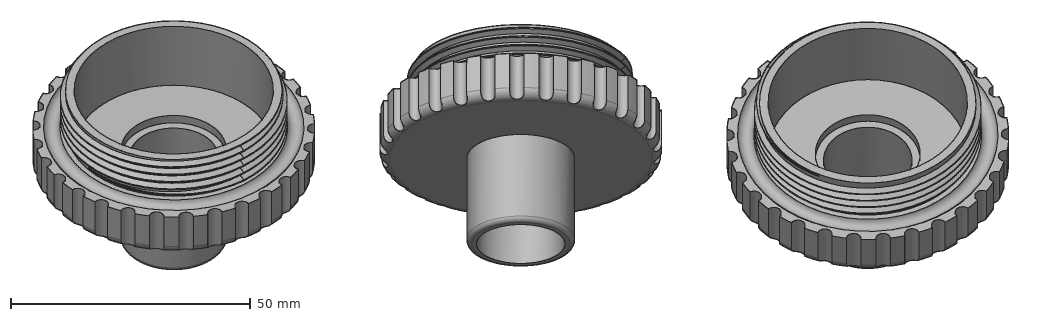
import cadquery as cq
import math

stub_length = 19.95
flange_height = 10.0
neck_height = 10.0
flange_bottom = stub_length
flange_top = flange_bottom + flange_height
housing_top = flange_top + neck_height

flange_diameter = 58.9
flange_fillet = 2.0
flute_count = 30
flute_radius = 1.55
flute_start_angle = 3.0

groove_inner_radius = 23.8
groove_outer_radius = 27.2
groove_depth = 1.3

stub_diameter = 22.5
stub_fillet = 1.0
neck_diameter = 45.25
cup_diameter = 41.65
cup_depth = 16.0
seat_diameter = 21.9
seat_depth = 2.0
bore_diameter = 18.5

pitch = 2.0
turn_count = 4
root_radius = neck_diameter / 2
crest_radius = root_radius + 5 / 8 * pitch * math.cos(math.radians(30))
root_half_width = 3 / 8 * pitch
crest_half_width = pitch / 16
fade_angle = 90.0
fade_rise = pitch * fade_angle / 360
thread_start = flange_top + (neck_height - turn_count * pitch) / 2
thread_end = thread_start + turn_count * pitch


def cylinder(diameter, bottom, top):
    return cq.Workplane("XY").workplane(offset=bottom).circle(diameter / 2).extrude(top - bottom)


def knurled_flange():
    blank = cylinder(flange_diameter, flange_bottom, flange_top).faces("<Z").edges().fillet(flange_fillet)
    flutes = (
        cq.Workplane("XY")
        .workplane(offset=flange_bottom)
        .polarArray(flange_diameter / 2, flute_start_angle, 360, flute_count)
        .circle(flute_radius)
        .extrude(flange_height)
    )
    return blank.cut(flutes)


def flange_groove():
    """Ring with a circular-arc section that sags below the top of the flange."""
    middle_radius = (groove_inner_radius + groove_outer_radius) / 2
    return (
        cq.Workplane("XZ")
        .moveTo(groove_inner_radius, flange_top)
        .threePointArc((middle_radius, flange_top - groove_depth), (groove_outer_radius, flange_top))
        .close()
        .revolve(360, (0, 0, 0), (0, 1, 0))
    )


def make_housing():
    cup_floor = housing_top - cup_depth
    stub = cylinder(stub_diameter, 0, flange_bottom).faces("<Z").edges().fillet(stub_fillet)
    neck = cylinder(neck_diameter, flange_top, housing_top)
    body = knurled_flange().cut(flange_groove()).union(stub).union(neck)
    body = body.cut(cylinder(cup_diameter, cup_floor, housing_top))
    body = body.cut(cylinder(seat_diameter, cup_floor - seat_depth, cup_floor))
    return body.cut(cylinder(bore_diameter, 0, housing_top))


def ridge_solid(edges, end_faces):
    """Close a ridge from its four corner edges, in order around the section, and its flat end faces."""
    sides = [cq.Face.makeRuledSurface(edges[i - 1], edges[i]) for i in range(len(edges))]
    return cq.Solid.makeSolid(cq.Shell.makeShell(sides + end_faces))


def section_corners():
    """Corners of the thread section as (radius, height) pairs, in order around it."""
    return [
        (root_radius, -root_half_width),
        (crest_radius, -crest_half_width),
        (crest_radius, crest_half_width),
        (root_radius, root_half_width),
    ]


def section_face():
    return cq.Face.makeFromWires(
        cq.Wire.makePolygon([cq.Vector(r, 0, z) for r, z in section_corners()], close=True)
    )


def make_thread_turn(turn):
    """One full turn of thread, starting on the +X side."""
    edges = [
        cq.Wire.makeHelix(pitch, pitch, r).Edges()[0].moved(cq.Location(cq.Vector(0, 0, z)))
        for r, z in section_corners()
    ]
    ends = [section_face(), section_face().moved(cq.Location(cq.Vector(0, 0, pitch)))]
    solid = ridge_solid(edges, ends)
    return solid.moved(cq.Location(cq.Vector(0, 0, thread_start + turn * pitch)))


def fade_edge(radius, height):
    """Corner edge of a fading ridge: it sinks to the root radius and closes to the crest width."""
    end_height = math.copysign(crest_half_width, height)

    def point(t):
        angle = math.radians(fade_angle * t)
        r = root_radius + (radius - root_radius) * (1 - math.sin(math.pi / 2 * t))
        z = height + (end_height - height) * t + fade_rise * t
        return (r * math.cos(angle), r * math.sin(angle), z)

    return cq.Workplane("XY").parametricCurve(point).val().Edges()[0]


def make_thread_fade():
    """Quarter turn in which the thread rises and runs out into the neck, starting on the +X side."""
    edges = [fade_edge(r, z) for r, z in section_corners()]
    return ridge_solid(edges, [section_face()])


housing = make_housing()
thread_turns = [make_thread_turn(turn) for turn in range(turn_count)]
upper_fade = make_thread_fade().moved(cq.Location(cq.Vector(0, 0, thread_end)))
lower_fade = make_thread_fade().rotate(cq.Vector(0, 0, 0), cq.Vector(1, 0, 0), 180)
lower_fade = lower_fade.moved(cq.Location(cq.Vector(0, 0, thread_start)))

result = cq.Compound.makeCompound([housing.val(), *thread_turns, upper_fade, lower_fade])